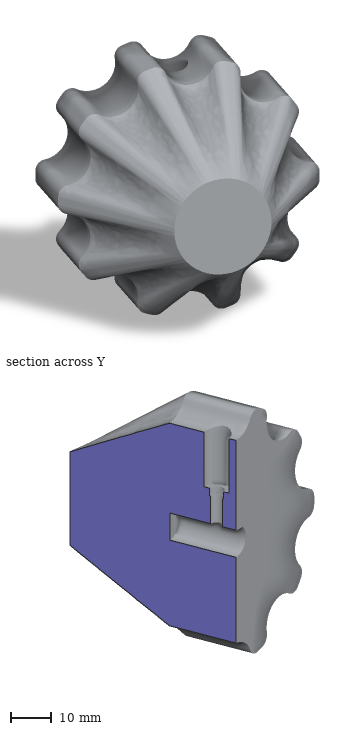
import cadquery as cq
import math

total_length = 50.18
cone_length = 30.0
grip_length = total_length - cone_length
tooth_count = 10
tip_radius = 67.26 / 2
flute_bottom_radius = 27.0
flute_radius = 6.72
tooth_fillet = 2.75

nose_radius = 12.5
nose_tooth_angle = 15.0
nose_twist = 1.2

hub_radius = 12.5
hub_depth = 10.0

bore_diameter = 8.18
bore_flat_height = 3.0
bore_depth = 20.0

screw_x = 6.0
screw_head_diameter = 7.5
screw_head_floor_z = 12.5
screw_entry_diameter = 4.09
screw_entry_depth = 2.0
screw_hole_diameter = 3.53

pitch_angle = 360 / tooth_count


def polar(radius, angle):
    """Point in the cross-section plane; the angle runs from +Y towards +Z, in degrees."""
    radians = math.radians(angle)
    return radius * math.cos(radians), radius * math.sin(radians)


def between(start, end, fraction):
    """Value part of the way from start to end."""
    return start + (end - start) * fraction


flute_centre_radius = flute_bottom_radius + flute_radius
fillet_centre_radius = tip_radius - tooth_fillet
centre_distance = flute_radius + tooth_fillet
flute_to_fillet_angle = math.degrees(math.acos(
    (flute_centre_radius**2 + fillet_centre_radius**2 - centre_distance**2)
    / (2 * flute_centre_radius * fillet_centre_radius)
))
land_half_angle = pitch_angle / 2 - flute_to_fillet_angle


def fillet_points(tooth_angle, side):
    """Land end, middle and flute end of a tooth fillet; side is -1 or 1."""
    centre_angle = tooth_angle + side * land_half_angle
    centre = polar(fillet_centre_radius, centre_angle)
    flute_centre = polar(flute_centre_radius, tooth_angle + side * pitch_angle / 2)
    land_end = polar(tip_radius, centre_angle)
    share = tooth_fillet / centre_distance
    flute_end = tuple(between(c, f, share) for c, f in zip(centre, flute_centre))
    outward = [(a + b) / 2 - c for a, b, c in zip(land_end, flute_end, centre)]
    reach = tooth_fillet / math.hypot(*outward)
    middle = tuple(c + o * reach for c, o in zip(centre, outward))
    return land_end, middle, flute_end


def grip_outline(plane):
    """Ten teeth, each with a rounded tip, and ten round flutes."""
    outline = plane.moveTo(*fillet_points(0, -1)[2])
    for tooth in range(tooth_count):
        angle = tooth * pitch_angle
        first_land_end, first_middle, _ = fillet_points(angle, -1)
        last_land_end, last_middle, last_flute_end = fillet_points(angle, 1)
        next_flute_end = fillet_points(angle + pitch_angle, -1)[2]
        outline = (
            outline
            .threePointArc(first_middle, first_land_end)
            .threePointArc(polar(tip_radius, angle), last_land_end)
            .threePointArc(last_middle, last_flute_end)
            .threePointArc(polar(flute_bottom_radius, angle + pitch_angle / 2), next_flute_end)
        )
    return outline.close()


def nose_outline(plane):
    """Circle split into the same run of edges as the grip outline."""
    start = -nose_tooth_angle / 2 - nose_twist
    edge_angles = [nose_tooth_angle / 3] * 3 + [pitch_angle - nose_tooth_angle]
    outline = plane.moveTo(*polar(nose_radius, start))
    angle = start
    for edge_angle in edge_angles * tooth_count:
        middle = polar(nose_radius, angle + edge_angle / 2)
        angle += edge_angle
        outline = outline.threePointArc(middle, polar(nose_radius, angle))
    return outline.close()


def make_grip():
    return grip_outline(cq.Workplane("YZ")).extrude(grip_length)


def make_cone():
    base = grip_outline(cq.Workplane("YZ", origin=(grip_length, 0, 0))).val()
    nose = nose_outline(cq.Workplane("YZ", origin=(total_length, 0, 0))).val()
    return cq.Workplane(cq.Solid.makeLoft([base, nose], True))


def make_hub():
    return cq.Workplane("YZ").circle(hub_radius).extrude(hub_depth)


def make_shaft_bore():
    bore = cq.Workplane("YZ").circle(bore_diameter / 2).extrude(bore_depth)
    above_flat = (
        cq.Workplane("XY", origin=(0, 0, bore_flat_height))
        .box(bore_depth, bore_diameter, bore_diameter, centered=(False, True, False))
    )
    return bore.cut(above_flat)


def make_screw_hole():
    def drill(diameter, bottom_z, top_z):
        return (
            cq.Workplane("XY", origin=(screw_x, 0, bottom_z))
            .circle(diameter / 2)
            .extrude(top_z - bottom_z)
        )

    head = drill(screw_head_diameter, screw_head_floor_z, tip_radius)
    entry = drill(screw_entry_diameter, screw_head_floor_z - screw_entry_depth, screw_head_floor_z)
    shank = drill(screw_hole_diameter, 0, screw_head_floor_z)
    return head.union(entry).union(shank)


result = (
    make_grip()
    .union(make_cone(), clean=False)
    .union(make_hub(), clean=False)
    .cut(make_shaft_bore(), clean=False)
    .cut(make_screw_hole(), clean=False)
)